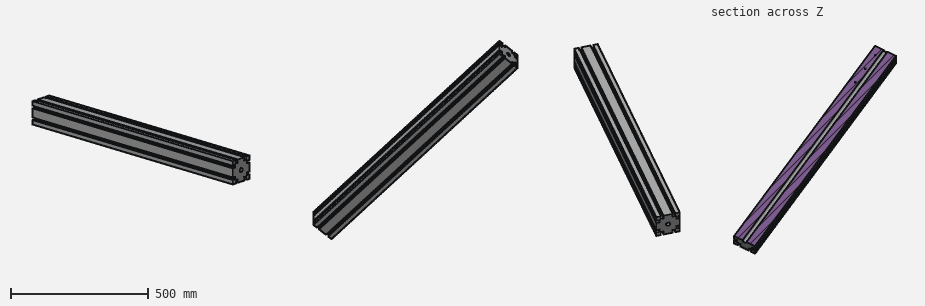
import cadquery as cq

length = 1000.0
side = 90.0
slot_width = 10.0
slot_depth = 13.0
slot_offset = side / 4
bore_diameter = 15.0


def make_slot(offset):
    """Cutter for one slot in the top face, offset sideways from the bar axis."""
    return cq.Workplane("XY").box(length, slot_width, 2 * slot_depth).translate((0, offset, side / 2))


bar = cq.Workplane("XY").box(length, side, side)

for angle in (0, 90, 180, 270):
    for offset in (-slot_offset, slot_offset):
        bar = bar.cut(make_slot(offset).rotate((0, 0, 0), (1, 0, 0), angle))

result = bar.faces("<X").workplane(centerOption="CenterOfBoundBox").hole(bore_diameter)